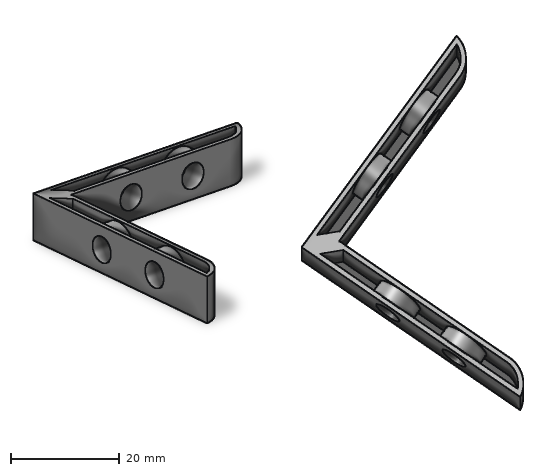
import cadquery as cq
import math

leg_length = 49.5
leg_width = 5.0
height = 9.5
wall = 1.0
tip_radius = 6.0
miter_offset = 2.55

hole_diameter = 5.25
boss_diameter = 9.0
first_hole = 19.5
hole_spacing = 15.0
hole_positions = [first_hole, first_hole + hole_spacing]

bottom = -height / 2
pocket_depth = height - wall

tip_center_y = leg_width - tip_radius
tip_center_x = leg_length - math.sqrt(tip_radius**2 - tip_center_y**2)


def tip_point(radius, y):
    """Point at the given Y on the arc of the given radius about the tip center."""
    return (tip_center_x + math.sqrt(radius**2 - (y - tip_center_y) ** 2), y)


def leg_outline(inset, start_offset):
    """Plan of the leg along X, inset from its sides, starting on a 45 degree line."""
    low = inset
    high = leg_width - inset
    radius = tip_radius - inset
    return (
        cq.Workplane("XY", origin=(0, 0, bottom))
        .moveTo(low + start_offset, low)
        .lineTo(*tip_point(radius, low))
        .threePointArc(tip_point(radius, (low + high) / 2), (tip_center_x, high))
        .lineTo(high + start_offset, high)
        .close()
    )


def cross_cylinders(diameter, start, end):
    """Cylinders along Y at every hole position of the leg along X."""
    return (
        cq.Workplane("XZ", origin=(0, start, 0))
        .pushPoints([(x, 0) for x in hole_positions])
        .circle(diameter / 2)
        .extrude(start - end)
    )


def make_leg():
    """Leg along X, open on top, with bosses bridging its side walls."""
    body = leg_outline(0, 0).extrude(height)
    pocket = leg_outline(wall, miter_offset).extrude(pocket_depth).translate((0, 0, wall))
    bosses = cross_cylinders(boss_diameter, wall / 2, leg_width - wall / 2)
    holes = cross_cylinders(hole_diameter, 0, leg_width)
    return body.cut(pocket).union(bosses).cut(holes)


leg_x = make_leg()
leg_y = leg_x.mirror("XZ").rotate((0, 0, 0), (0, 0, 1), 90)

result = leg_x.union(leg_y)